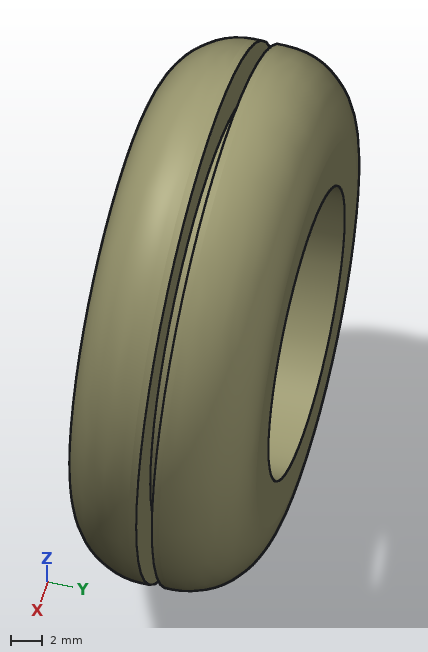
import cadquery as cq

outer_diameter = 35.0
width = 12.0
bore_diameter = 19.0
groove_diameter = 28.0
groove_width = 1.0
edge_radius = 5.0
cutter_margin = 3.5


def disc(diameter, length):
    """Solid disc around the Y axis, centred on the origin."""
    return (
        cq.Workplane("XZ", origin=(0, length / 2, 0))
        .circle(diameter / 2)
        .extrude(length)
    )


body = disc(outer_diameter, width).edges("%CIRCLE").fillet(edge_radius)

bore = disc(bore_diameter, width + cutter_margin)

groove = disc(outer_diameter + cutter_margin, groove_width).cut(
    disc(groove_diameter, groove_width)
)

result = body.cut(bore).cut(groove)